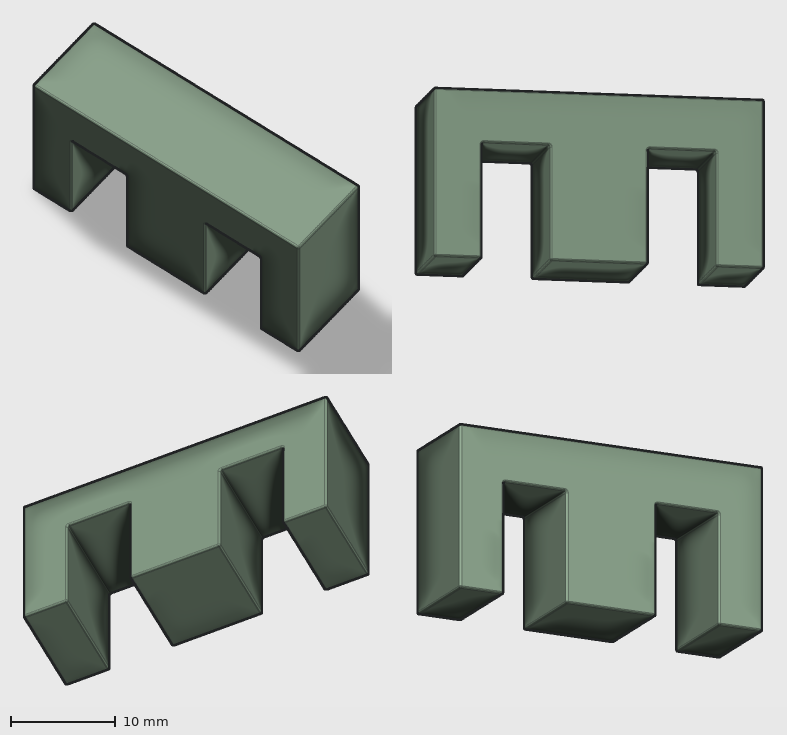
import cadquery as cq

core_length = 32.0
core_depth = 9.5
core_height = 16.4

centre_leg_width = 9.5
outer_leg_spacing = 22.7
window_height = 11.2
edge_radius = 0.2

window_width = (outer_leg_spacing - centre_leg_width) / 2
window_offset = (outer_leg_spacing + centre_leg_width) / 4


def make_block():
    """Plain block centred on X and Y, standing on Z = 0."""
    return cq.Workplane("XY").box(
        core_length, core_depth, core_height, centered=(True, True, False)
    )


def make_window(centre_x):
    """Window volume running through the full depth and open at the bottom."""
    return (
        cq.Workplane("XY")
        .center(centre_x, 0)
        .box(window_width, core_depth, window_height, centered=(True, True, False))
    )


core = make_block()
for side in (-1, 1):
    core = core.cut(make_window(side * window_offset))

result = core.edges().fillet(edge_radius)